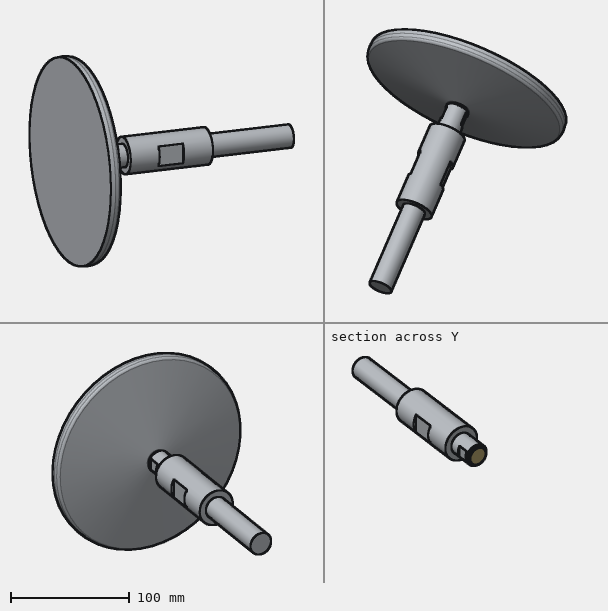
import cadquery as cq

total_length = 200.0

foot_diameter = 178.0
rim_draft = 0.5
ridge_height = 4.2
rim_height = 7.5
cone_base_height = 10.0
shoulder_width = 2.0
foot_height = 23.0
cone_top_radius = 10.0

spindle_diameter = 20.0
neck_radius = 8.0
neck_ridge_radius = 8.8
spindle_shoulder = 25.0
spindle_flat_start = 27.0
spindle_flat_length = 11.5
spindle_across_flats = 17.0

sleeve_diameter = 32.0
sleeve_start = 48.5
sleeve_length = 75.0
sleeve_flat_length = 22.2
sleeve_across_flats = 27.0
sleeve_flat_start = sleeve_start + (sleeve_length - sleeve_flat_length) / 2


def cylinder(diameter, start, length):
    """Cylinder on the Y axis, running from Y = start toward +Y."""
    return cq.Workplane("XZ", origin=(0, start, 0)).circle(diameter / 2).extrude(-length)


def cut_wrench_flats(body, diameter, across_flats, start, length):
    """Cut a pair of flats facing -X and +X."""
    depth = (diameter - across_flats) / 2
    for side in (-1, 1):
        center = (side * (across_flats + depth) / 2, start + length / 2, 0)
        body = body.cut(cq.Workplane("XY").box(depth, length, diameter).translate(center))
    return body


def make_foot():
    """Conical plate with a doubly drafted rim and a rounded shoulder."""
    ridge_radius = foot_diameter / 2
    edge_radius = ridge_radius - rim_draft
    cone_base_radius = edge_radius - shoulder_width
    return (
        cq.Workplane("XY")
        .lineTo(edge_radius, 0)
        .lineTo(ridge_radius, ridge_height)
        .lineTo(edge_radius, rim_height)
        .tangentArcPoint((cone_base_radius, cone_base_height), relative=False)
        .lineTo(cone_top_radius, foot_height)
        .lineTo(0, foot_height)
        .close()
        .revolve(360, (0, 0, 0), (0, 1, 0))
    )


def make_spindle():
    """Plain shank standing on the foot by a short neck with a sharp ridge."""
    neck_middle = (foot_height + spindle_shoulder) / 2
    neck = (
        cq.Workplane("XY")
        .moveTo(0, foot_height)
        .lineTo(neck_radius, foot_height)
        .lineTo(neck_ridge_radius, neck_middle)
        .lineTo(neck_radius, spindle_shoulder)
        .lineTo(0, spindle_shoulder)
        .close()
        .revolve(360, (0, 0, 0), (0, 1, 0))
    )
    shank = cylinder(spindle_diameter, spindle_shoulder, total_length - spindle_shoulder)
    return cut_wrench_flats(
        shank.union(neck), spindle_diameter, spindle_across_flats, spindle_flat_start, spindle_flat_length
    )


def make_sleeve():
    """Sleeve around the spindle, with wrench flats at mid length."""
    outside = cylinder(sleeve_diameter, sleeve_start, sleeve_length)
    bore = cylinder(spindle_diameter, sleeve_start, sleeve_length)
    return cut_wrench_flats(
        outside.cut(bore), sleeve_diameter, sleeve_across_flats, sleeve_flat_start, sleeve_flat_length
    )


foot = make_foot()
spindle = make_spindle()
sleeve = make_sleeve()

result = cq.Compound.makeCompound([foot.val(), spindle.val(), sleeve.val()])